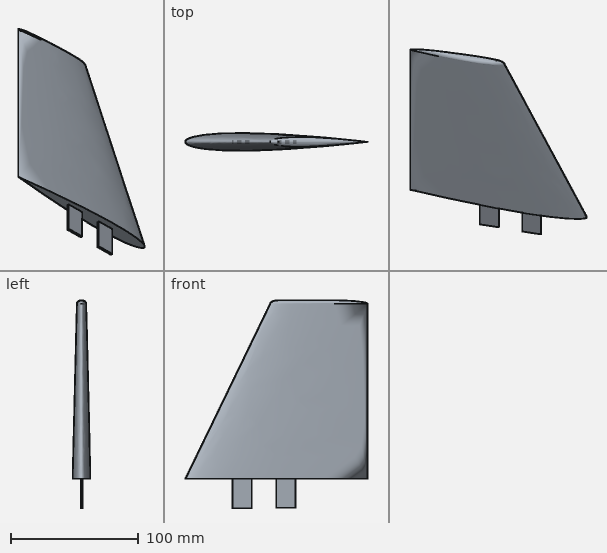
import cadquery as cq
import math

overall_height = 163.1
tab_drop = 23.2
cap_height = 3.0
tip_height = overall_height - tab_drop - cap_height

root_chord = 142.9
tip_chord = 76.5
root_thickness = 14.2
thickness_ratio = root_thickness / root_chord
tip_leading_x = root_chord - tip_chord

cap_nose_length = 6.5
cap_tail_length = 26.1
cap_level_count = 6
crest_angle = math.radians(87)
cap_angles = [crest_angle * i / cap_level_count for i in range(1, cap_level_count + 1)]

tab_width = 15.3
tab_thickness = 1.6
front_tab_x = 36.9
tab_pitch = 34.3
rear_tab_drop = 22.7
tab_layout = [(front_tab_x, tab_drop), (front_tab_x + tab_pitch, rear_tab_drop)]

station_count = 18
stations = [(1 - math.cos(math.pi * i / station_count)) / 2 for i in range(station_count + 1)]


def half_thickness(s):
    """NACA 00xx half thickness per unit chord at chord fraction s, closed at the trailing edge."""
    series = 0.2969 * math.sqrt(s) - 0.1260 * s - 0.3516 * s**2 + 0.2843 * s**3 - 0.1036 * s**4
    return max(0, 5 * thickness_ratio * series)


def outline_wire(points, z):
    """Symmetric outline through (x, half width) points: one spline from tail to tail."""
    upper_side = [cq.Vector(x, half_width, z) for x, half_width in reversed(points)]
    lower_side = [cq.Vector(x, -half_width, z) for x, half_width in points]
    spacing = [math.sqrt(s) for s in stations]
    loop_spacing = [-p for p in reversed(spacing)] + spacing[1:]
    outline = cq.Edge.makeSpline(upper_side + lower_side[1:], parameters=loop_spacing)
    return cq.Wire.assembleEdges([outline])


def airfoil_wire(leading_x, chord, z):
    """Level airfoil section of the blade."""
    return outline_wire([(leading_x + chord * s, chord * half_thickness(s)) for s in stations], z)


def ridge_height(distance):
    """Height of the cap's crest at a distance behind the tip's leading edge."""
    nose_gap = max(0, 1 - distance / cap_nose_length)
    tail_gap = max(0, 1 - (tip_chord - distance) / cap_tail_length)
    return cap_height * math.sqrt(1 - max(nose_gap, tail_gap) ** 2)


def cap_wire(angle):
    """Level outline of the cap, whose cross sections are half ellipses, at an ellipse angle."""
    level = cap_height * math.sin(angle)
    nose = cap_nose_length * (1 - math.cos(angle))
    tail = tip_chord - cap_tail_length * (1 - math.cos(angle))
    points = [(tip_leading_x + nose, 0)]
    for s in stations[1:-1]:
        distance = nose + (tail - nose) * s
        narrowing = math.sqrt(1 - (level / ridge_height(distance)) ** 2)
        half_width = tip_chord * half_thickness(distance / tip_chord) * narrowing
        points.append((tip_leading_x + distance, half_width))
    points.append((tip_leading_x + tail, 0))
    return outline_wire(points, tip_height + level)


def make_fin():
    """Straight tapered blade closed by the rounded tip cap."""
    root = airfoil_wire(0, root_chord, 0)
    tip = airfoil_wire(tip_leading_x, tip_chord, tip_height)
    blade = cq.Solid.makeLoft([root, tip], True)
    cap = cq.occ_impl.shapes.loft([tip] + [cap_wire(angle) for angle in cap_angles], cap=True)
    return cq.Workplane(blade).union(cq.Workplane(cap)).solids()


def make_tab(start_x, drop):
    """Flat rectangular tab that hangs from the root plane."""
    tab = cq.Workplane("XY").box(tab_width, tab_thickness, drop, centered=(False, True, False))
    return tab.translate((start_x, 0, -drop))


fin = make_fin()
tabs = []
for start_x, drop in tab_layout:
    tabs.append(make_tab(start_x, drop))

result = cq.Compound.makeCompound([fin.val(), *[tab.val() for tab in tabs]])